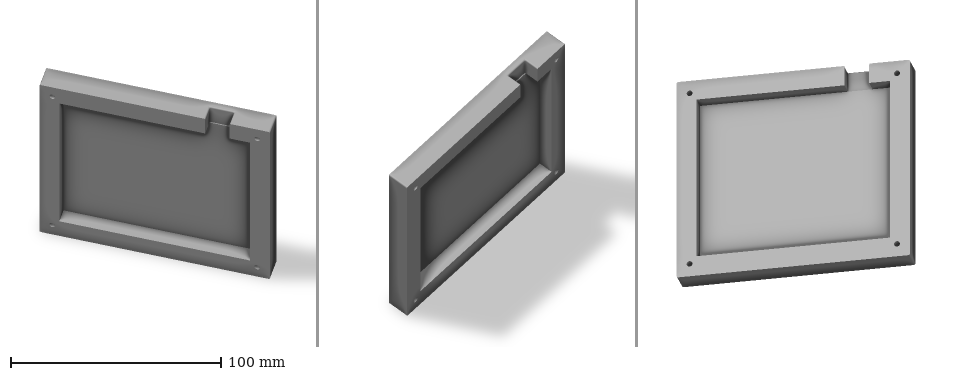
import cadquery as cq

width = 113.8
depth = 11.5
height = 102.2
outer_corner_radius = 0.8

pocket_width = 94.2
pocket_height = 81.9
pocket_depth = 7.4

hole_diameter = 2.8
hole_spacing_x = 101.2
hole_spacing_z = 89.2

notch_center_x = 31.0
notch_width = 12.1
notch_depth = 8.0
notch_rim_radius = 0.7
notch_corner_radius = 0.6

front_y = -depth / 2
top_z = height / 2
wall_height = (height - pocket_height) / 2


def front_box(size_x, size_y, size_z, center_x, center_z):
    """Box whose -Y face lies on the open face of the tray."""
    center = (center_x, front_y + size_y / 2, center_z)
    return cq.Workplane("XY").box(size_x, size_y, size_z).translate(center)


def edges_nearest(solid, points):
    """Select the edge of the solid closest to each point."""
    edges = [solid.edges(cq.selectors.NearestToPointSelector(point)).val() for point in points]
    return solid.newObject(edges)


def body():
    """Outer block with its four corners rounded along Y."""
    block = cq.Workplane("XY").box(width, depth, height)
    return block.edges("|Y").fillet(outer_corner_radius)


def screw_holes():
    """Four cylinders running the full depth of the tray."""
    return (
        cq.Workplane("XZ", origin=(0, depth / 2, 0))
        .rect(hole_spacing_x, hole_spacing_z, forConstruction=True)
        .vertices()
        .circle(hole_diameter / 2)
        .extrude(depth)
    )


def cut_cable_notch(tray):
    """Cut a slot through the top wall, then round its rim and its inner corners."""
    notch = front_box(notch_width, notch_depth, wall_height, notch_center_x, top_z - wall_height / 2)
    tray = tray.cut(notch)

    side_y = front_y + notch_depth / 2
    back_y = front_y + notch_depth
    left_x = notch_center_x - notch_width / 2
    right_x = notch_center_x + notch_width / 2
    rim = edges_nearest(tray, [(left_x, side_y, top_z), (right_x, side_y, top_z), (notch_center_x, back_y, top_z)])
    tray = rim.fillet(notch_rim_radius)

    corner_z = top_z - wall_height / 2
    corners = edges_nearest(tray, [(left_x, back_y, corner_z), (right_x, back_y, corner_z)])
    return corners.fillet(notch_corner_radius)


tray = body()
tray = tray.cut(front_box(pocket_width, pocket_depth, pocket_height, 0, 0))
tray = tray.cut(screw_holes())
result = cut_cable_notch(tray)